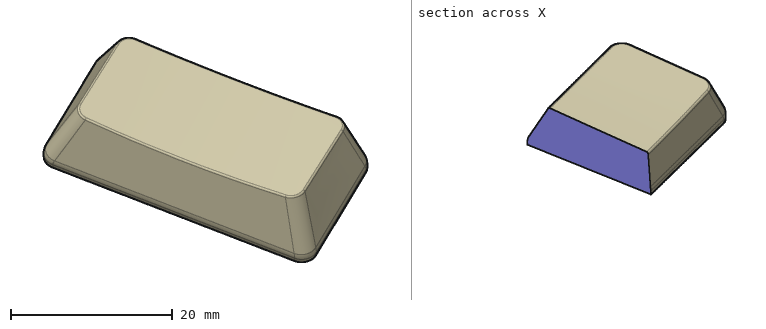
import cadquery as cq
import math

length = 37.2
width = 18.15
corner_radius = 2.0

skirt_height = 0.67
shoulder_height = 0.67

rim_front_height = 7.93
rim_tilt = 3.0
rim_side_inset = 3.2
rim_front_inset = 3.45
rim_back_inset = 0.4
rim_corner_radius = 1.82

dish_radius = 215.8
dish_depth = 0.65
rim_fillet = 0.3

shoulder_top = skirt_height + shoulder_height
rim_width = width - rim_front_inset - rim_back_inset
rim_drop = rim_width * math.tan(math.radians(rim_tilt))
rim_back_height = rim_front_height - rim_drop
rim_middle_height = rim_front_height - rim_drop / 2

rim_plane = cq.Plane(
    origin=(0, rim_front_inset - width / 2, rim_front_height),
    xDir=(1, 0, 0),
    normal=(0, math.sin(math.radians(rim_tilt)), math.cos(math.radians(rim_tilt))),
)


def rounded_rectangle(plane, center_y, size_x, size_y, radius):
    """Closed outline with equal corner radii, centred on the plane's Y axis."""
    rectangle = cq.Workplane(plane).center(0, center_y).rect(size_x, size_y)
    return rectangle.val().fillet2D(radius, rectangle.vertices().vals())


def shoulder_outline(z):
    """Level outline at height z, curving parabolically from vertical to the wall slopes."""
    lean_rise = (z - skirt_height) ** 2 / (2 * shoulder_height)
    wall_foot = skirt_height + shoulder_height / 2
    side = rim_side_inset * lean_rise / (rim_middle_height - wall_foot)
    front = rim_front_inset * lean_rise / (rim_front_height - wall_foot)
    back = rim_back_inset * lean_rise / (rim_back_height - wall_foot)
    level = cq.Plane(origin=(0, 0, z))
    return rounded_rectangle(
        level, (front - back) / 2, length - 2 * side, width - front - back, corner_radius
    )


def rim_outline():
    sloped_width = rim_width / math.cos(math.radians(rim_tilt))
    return rounded_rectangle(
        rim_plane, sloped_width / 2, length - 2 * rim_side_inset, sloped_width, rim_corner_radius
    )


def make_skirt():
    return cq.Workplane("XY").rect(length, width).extrude(skirt_height).edges("|Z").fillet(corner_radius)


def make_shoulder():
    heights = [skirt_height, skirt_height + shoulder_height / 2, shoulder_top]
    return cq.Workplane(obj=cq.Solid.makeLoft([shoulder_outline(z) for z in heights]))


def make_sloped_walls():
    return cq.Workplane(obj=cq.Solid.makeLoft([shoulder_outline(shoulder_top), rim_outline()], True))


def make_dish_cutter():
    cross_section = cq.Plane(origin=rim_plane.origin, xDir=(1, 0, 0), normal=-rim_plane.yDir)
    return (
        cq.Workplane(cross_section)
        .center(0, dish_radius - dish_depth)
        .circle(dish_radius)
        .extrude(width, both=True)
    )


blank = make_skirt().union(make_shoulder()).union(make_sloped_walls())
dished = blank.cut(make_dish_cutter())
dish_face = dished.faces(cq.selectors.NearestToPointSelector((0, 0, rim_middle_height)))
result = dish_face.edges().fillet(rim_fillet)